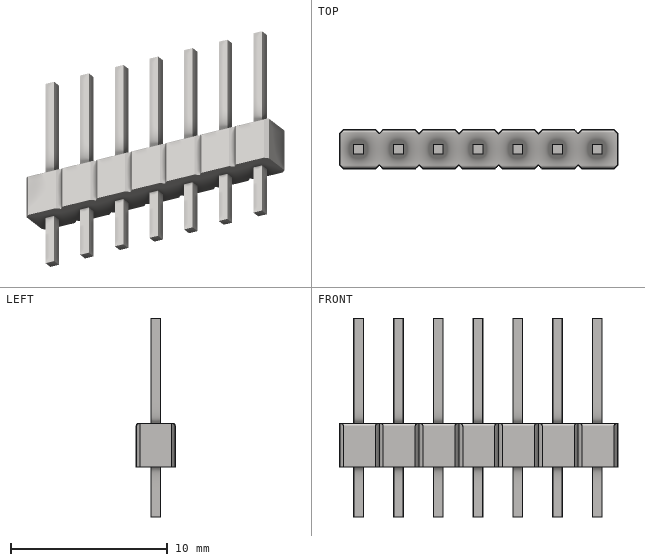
import cadquery as cq

pin_count = 7
pitch = 2.54

strip_width = 2.5
strip_height = 2.8
corner_chamfer = 0.25
top_edge_radius = 0.2

pin_size = 0.63
pin_length = 12.7
pin_below_strip = 3.2
pin_shift_x = -0.05


def position_x(index):
    """X of the middle of one position in a row centred on X = 0."""
    return (index - (pin_count - 1) / 2) * pitch


def make_block(center_x):
    """One strip segment: chamfered upright corners, rounded long top edges."""
    block = cq.Workplane("XY").box(pitch, strip_width, strip_height, centered=(True, True, False))
    block = block.faces(">Z").edges("|X").fillet(top_edge_radius)

    chamfered_outline = (
        cq.Workplane("XY")
        .rect(pitch, strip_width)
        .extrude(strip_height)
        .edges("|Z")
        .chamfer(corner_chamfer)
    )
    return block.intersect(chamfered_outline).translate((center_x, 0, 0))


def make_pin(center_x):
    """One square pin standing through the strip."""
    pin = cq.Workplane("XY").box(pin_size, pin_size, pin_length, centered=(True, True, False))
    return pin.translate((center_x + pin_shift_x, 0, -pin_below_strip))


result = make_block(position_x(0))
for index in range(1, pin_count):
    result = result.union(make_block(position_x(index)))
for index in range(pin_count):
    result = result.union(make_pin(position_x(index)))
result = result.clean()